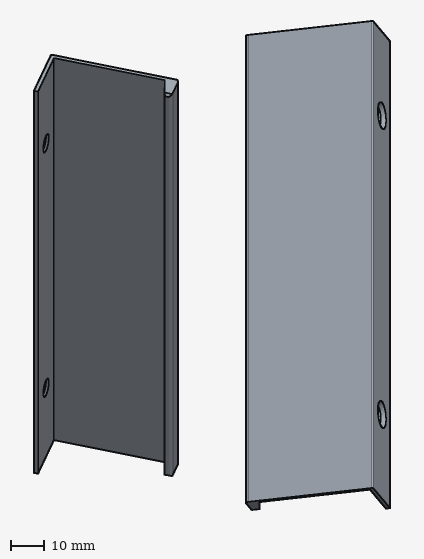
import cadquery as cq
import math

width = 40.0
depth = 17.5
length = 150.0
wall = 1.3

leg_corner_radius = 0.5
lip_corner_radius = 1.0

lip_depth = 7.6
lip_taper = math.radians(15)
tip_radius = 1.3

bevel_inset = 0.8
bevel_height = 0.8

hole_spacing = 96.0
hole_from_plate = 9.25
hole_diameter = 5.5
countersink_diameter = 8.2
countersink_angle = math.radians(90)

tip_x = width - tip_radius
tip_y = depth - lip_depth + tip_radius
taper_end_x = tip_x - tip_radius * math.cos(lip_taper)
taper_end_y = tip_y - tip_radius * math.sin(lip_taper)


def make_bar():
    """Extrude the section: leg at -X, plate at +Y, tapered lip at +X."""
    plate_inner_y = depth - wall
    lip_root_x = taper_end_x - (plate_inner_y - taper_end_y) * math.tan(lip_taper)
    bar = (
        cq.Workplane("XY")
        .lineTo(wall, 0)
        .lineTo(wall, plate_inner_y)
        .lineTo(lip_root_x, plate_inner_y)
        .lineTo(taper_end_x, taper_end_y)
        .threePointArc((tip_x, tip_y - tip_radius), (width, tip_y))
        .lineTo(width, depth)
        .lineTo(0, depth)
        .close()
        .extrude(length)
    )
    bar = bar.faces(">Y").edges("<X").fillet(leg_corner_radius)
    return bar.faces(">Y").edges(">X").fillet(lip_corner_radius)


def bevel_tip_ends(body):
    """Cut a flat bevel across both ends of the round tip."""
    lip_tip_y = tip_y - tip_radius
    lower_wedge = (
        cq.Workplane("YZ", origin=(taper_end_x, 0, 0))
        .moveTo(lip_tip_y, 0)
        .lineTo(lip_tip_y + bevel_inset, 0)
        .lineTo(lip_tip_y, bevel_height)
        .close()
        .extrude(width - taper_end_x)
    )
    upper_wedge = lower_wedge.mirror("XY", (0, 0, length / 2))
    return body.cut(lower_wedge).cut(upper_wedge)


def cut_screw_holes(body):
    """Cut the two holes through the leg, countersunk from its -X face."""
    leg_face = cq.Workplane("YZ")
    hole_y = depth - hole_from_plate
    hole_radius = hole_diameter / 2
    countersink_radius = countersink_diameter / 2
    countersink_depth = (countersink_radius - hole_radius) / math.tan(countersink_angle / 2)
    for side in (-1, 1):
        hole_z = length / 2 + side * hole_spacing / 2
        centre = leg_face.center(hole_y, hole_z)
        bore = centre.circle(hole_radius).extrude(wall)
        cone = cq.Solid.makeCone(
            countersink_radius,
            hole_radius,
            countersink_depth,
            pnt=cq.Vector(0, hole_y, hole_z),
            dir=cq.Vector(1, 0, 0),
        )
        body = body.cut(bore).cut(cq.Workplane(cone))
    return body


result = cut_screw_holes(bevel_tip_ends(make_bar()))